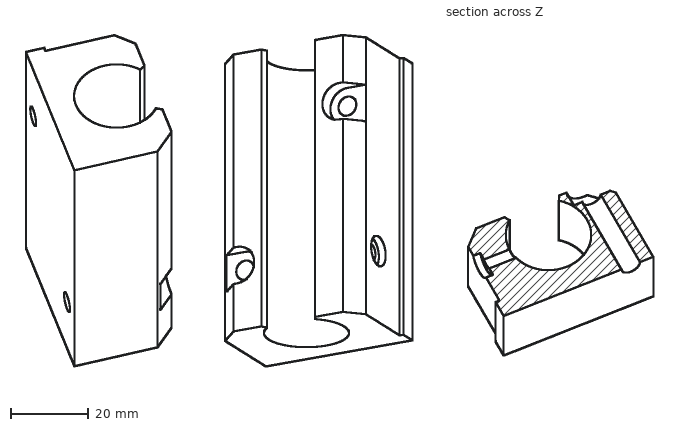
import cadquery as cq
import math

width = 43.0
depth = 28.0
height = 76.0

ledge_overhang = 1.1
ledge_depth = 5.0

channel_radius = 11.0
channel_x = width / 2
channel_y = 18.0
mouth_half_width = 7.0
lip_angle = 30.0

corner_chamfer = 5.5

mount_diameter = 5.2
mount_pitch_x = 30.0
mount_pitch_z = 40.0
seat_width = 10.0
seat_depth = corner_chamfer - ledge_overhang

clamp_y = 16.7
clamp_z = 19.5
clamp_diameter = 4.2
clamp_head_diameter = 8.0
clamp_head_depth = 2.0


def make_body():
    """Extrude the block outline, including the open channel, along Z."""
    mouth_y = channel_y + math.sqrt(channel_radius**2 - mouth_half_width**2)
    flare = (depth - mouth_y) * math.tan(math.radians(lip_angle))
    rim_half_width = mouth_half_width + flare
    left_chamfer_y = depth - corner_chamfer + ledge_overhang
    return (
        cq.Workplane("XY")
        .moveTo(0, 0)
        .lineTo(width, 0)
        .lineTo(width, depth - corner_chamfer)
        .lineTo(width - corner_chamfer, depth)
        .lineTo(channel_x + rim_half_width, depth)
        .lineTo(channel_x + mouth_half_width, mouth_y)
        .threePointArc(
            (channel_x, channel_y - channel_radius),
            (channel_x - mouth_half_width, mouth_y),
        )
        .lineTo(channel_x - rim_half_width, depth)
        .lineTo(corner_chamfer, depth)
        .lineTo(ledge_overhang, left_chamfer_y)
        .lineTo(ledge_overhang, ledge_depth)
        .lineTo(0, ledge_depth)
        .close()
        .extrude(height)
    )


def rod_along_y(x, z, diameter, start_y, length):
    """Cylinder along +Y starting at start_y."""
    start = cq.Vector(x, start_y, z)
    return cq.Workplane(cq.Solid.makeCylinder(diameter / 2, length, start, cq.Vector(0, 1, 0)))


def rod_along_x(diameter, start_x, length):
    """Cylinder along +X on the clamp screw axis."""
    start = cq.Vector(start_x, clamp_y, clamp_z)
    return cq.Workplane(cq.Solid.makeCylinder(diameter / 2, length, start, cq.Vector(1, 0, 0)))


def mount_cutter(side):
    """Through hole and a head seat that runs out through the sloping corner.

    side is -1 for the upper hole near -X and +1 for the lower hole near +X.
    """
    x = width / 2 + side * mount_pitch_x / 2
    z = height / 2 - side * mount_pitch_z / 2
    seat_y = depth - seat_depth
    outer_x = width / 2 + side * width / 2
    run_out = (
        cq.Workplane("XY")
        .box(abs(outer_x - x), seat_depth, seat_width, centered=(True, False, True))
        .translate(((x + outer_x) / 2, seat_y, z))
    )
    hole = rod_along_y(x, z, mount_diameter, 0, depth)
    seat_end = rod_along_y(x, z, seat_width, seat_y, seat_depth)
    return hole.union(seat_end).union(run_out)


def clamp_cutter():
    """Counterbore and screw hole ending inside the channel."""
    head = rod_along_x(clamp_head_diameter, ledge_overhang, clamp_head_depth)
    hole = rod_along_x(clamp_diameter, ledge_overhang, channel_x - ledge_overhang)
    return head.union(hole)


result = make_body()
for side in (-1, 1):
    result = result.cut(mount_cutter(side))
result = result.cut(clamp_cutter())